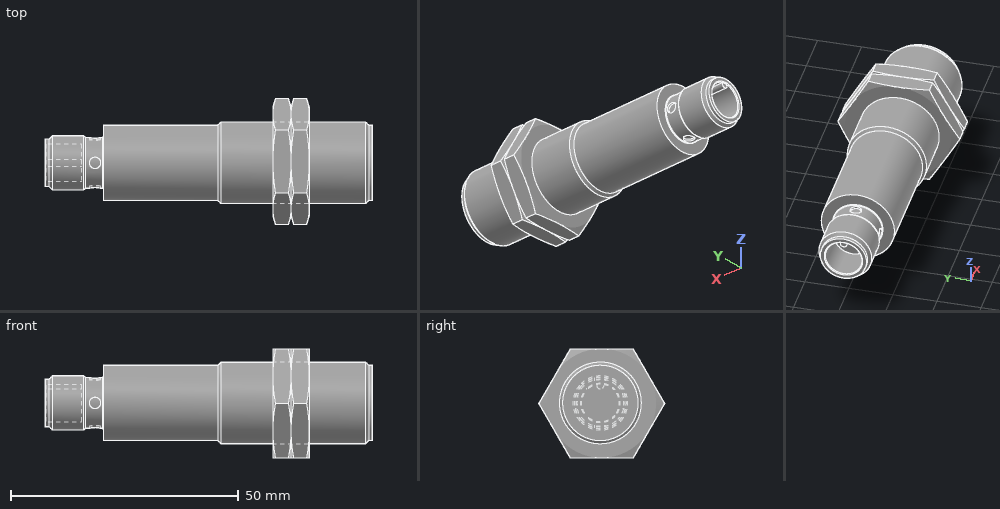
import cadquery as cq
import math

total_length = 72.0

tip_radius = 5.25
tip_length = 0.9
thread_radius = 6.0
thread_end = 8.5
neck_radius = 5.6
collar_radius = 5.7
collar_start = 12.65

rear_barrel_start = 12.85
rear_barrel_radius = 8.3
front_barrel_start = 38.0
front_barrel_radius = 9.0
front_nose_radius = 8.3
front_nose_start = 71.2

socket_radius = 4.15
socket_depth = 8.0
socket_chamfer = 0.2
key_radius = 0.75
key_center_z = 3.8

window_count = 4
window_diameter = 2.5
window_x = 11.0
window_depth = 0.5

nut_count = 2
nut_start = 50.1
nut_thickness = 4.0
nut_across_flats = 24.0
nut_chamfer_angle = 17.0
nut_offset_y = 0.3
nut_offset_z = -0.13


def x_cylinder(radius, start, length):
    """Solid cylinder about the X axis."""
    return cq.Workplane("YZ", origin=(start, 0, 0)).circle(radius).extrude(length)


def make_housing():
    thread_start = tip_length + thread_radius - tip_radius
    neck_start = thread_end + thread_radius - neck_radius
    rear_shoulder_end = front_barrel_start + front_barrel_radius - rear_barrel_radius
    front_shoulder_start = front_nose_start - (front_barrel_radius - front_nose_radius)
    profile = [
        (0, 0),
        (0, tip_radius),
        (tip_length, tip_radius),
        (thread_start, thread_radius),
        (thread_end, thread_radius),
        (neck_start, neck_radius),
        (collar_start, neck_radius),
        (collar_start, collar_radius),
        (rear_barrel_start, collar_radius),
        (rear_barrel_start, rear_barrel_radius),
        (front_barrel_start, rear_barrel_radius),
        (rear_shoulder_end, front_barrel_radius),
        (front_shoulder_start, front_barrel_radius),
        (front_nose_start, front_nose_radius),
        (total_length, front_nose_radius),
        (total_length, 0),
    ]
    turned = cq.Workplane("XY").polyline(profile).close().revolve(360, (0, 0, 0), (1, 0, 0))
    return turned.cut(make_socket()).cut(make_windows())


def make_socket():
    """Bore with a chamfered mouth, less the round-nosed coding key that starts behind the chamfer."""
    mouth_radius = socket_radius + socket_chamfer
    profile = [
        (0, 0),
        (0, mouth_radius),
        (socket_chamfer, socket_radius),
        (socket_depth, socket_radius),
        (socket_depth, 0),
    ]
    bore = cq.Workplane("XY").polyline(profile).close().revolve(360, (0, 0, 0), (1, 0, 0))
    key = (
        cq.Workplane("YZ", origin=(socket_chamfer, 0, 0))
        .moveTo(-key_radius, key_center_z)
        .threePointArc((0, key_center_z - key_radius), (key_radius, key_center_z))
        .lineTo(key_radius, tip_radius)
        .lineTo(-key_radius, tip_radius)
        .close()
        .extrude(socket_depth - socket_chamfer)
    )
    return bore.cut(key)


def make_windows():
    """Round pockets spaced evenly around the neck, with floors curved parallel to it."""
    drill = cq.Workplane("XY", origin=(window_x, 0, 0)).circle(window_diameter / 2).extrude(thread_radius)
    core = x_cylinder(neck_radius - window_depth, thread_end, rear_barrel_start - thread_end)
    pocket = drill.cut(core)
    pockets = cq.Workplane("XY")
    for i in range(window_count):
        pockets = pockets.add(pocket.rotate((0, 0, 0), (1, 0, 0), i * 360 / window_count))
    return pockets.combine()


def make_nut(start):
    """Hexagon nut with flats facing +Z and -Z and both faces chamfered at the corners."""
    flat_radius = nut_across_flats / 2
    corner_radius = flat_radius / math.cos(math.pi / 6)
    chamfer_depth = (corner_radius - flat_radius) * math.tan(math.radians(nut_chamfer_angle))
    end = start + nut_thickness
    hexagon = (
        cq.Workplane("YZ", origin=(start, 0, 0))
        .polygon(6, 2 * corner_radius)
        .extrude(nut_thickness)
    )
    envelope_profile = [
        (start, 0),
        (start, flat_radius),
        (start + chamfer_depth, corner_radius),
        (end - chamfer_depth, corner_radius),
        (end, flat_radius),
        (end, 0),
    ]
    envelope = cq.Workplane("XY").polyline(envelope_profile).close().revolve(360, (0, 0, 0), (1, 0, 0))
    bore = x_cylinder(front_barrel_radius, start, nut_thickness)
    blank = hexagon.intersect(envelope).translate((0, nut_offset_y, nut_offset_z))
    return blank.cut(bore)


housing = make_housing()
nuts = [make_nut(nut_start + i * nut_thickness) for i in range(nut_count)]

result = cq.Compound.makeCompound([housing.val(), *[nut.val() for nut in nuts]])